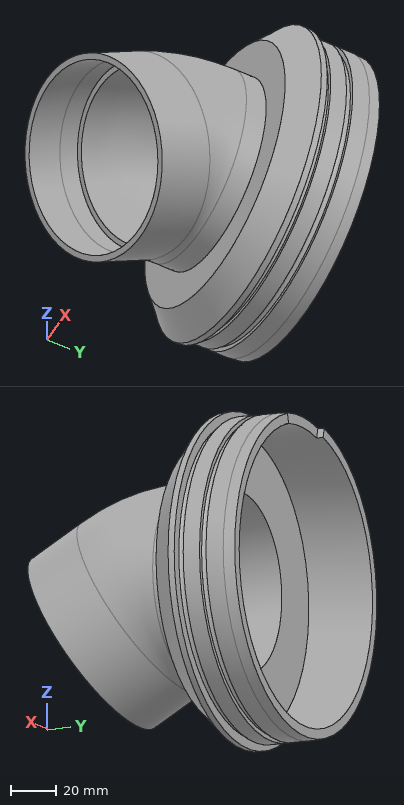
import cadquery as cq
import math

flange_radius = 75.7
body_radius = 73.1
back_radius = 72.7
back_taper_length = 5.5
groove_radius = 70.1
groove_wall_radius = 71.0
groove_width = 3.2
groove_starts = (14.0, 25.1)
flange_start = groove_starts[1] + groove_width
flange_width = 3.0
cone_start = flange_start + flange_width
head_length = 43.0
cone_end_radius = 63.7
cup_radius = 68.1
cup_depth = cone_start

notch_depth = 3.2
notch_angle = 30.0

pipe_radius = 93.0 / 2
bore_radius = 81.0 / 2
socket_radius = 87.0 / 2
socket_seat_radius = 86.3 / 2
socket_length = 28.0
seat_length = 10.0
neck_length = 10.0
bend_radius = 54.8
bend_angle = 30.0

bend_start = head_length + neck_length
slope = math.radians(bend_angle)
bend_end = (
    0,
    -bend_start - bend_radius * math.sin(slope),
    -bend_radius * (1 - math.cos(slope)),
)
socket_direction = (0, -math.cos(slope), -math.sin(slope))


def make_head():
    """Revolve the outer profile about Y and hollow it from the back."""
    profile = (
        cq.Workplane("XY")
        .moveTo(0, 0)
        .lineTo(back_radius, 0)
        .lineTo(body_radius, -back_taper_length)
        .lineTo(body_radius, -flange_start)
        .lineTo(flange_radius, -flange_start)
        .lineTo(flange_radius, -cone_start)
        .lineTo(cone_end_radius, -head_length)
        .lineTo(0, -head_length)
        .close()
    )
    head = profile.revolve(360, (0, 0, 0), (0, 1, 0))
    for start in groove_starts:
        head = head.cut(make_groove(start))
    cup = cq.Workplane("XZ").circle(cup_radius).extrude(cup_depth)
    return head.cut(cup).cut(make_notch())


def make_groove(start):
    """Ring cutter for a seal groove with a hollow, arc-shaped bottom."""
    end = start + groove_width
    middle = start + groove_width / 2
    return (
        cq.Workplane("XY")
        .moveTo(body_radius, -start)
        .lineTo(groove_wall_radius, -start)
        .threePointArc((groove_radius, -middle), (groove_wall_radius, -end))
        .lineTo(body_radius, -end)
        .close()
        .revolve(360, (0, 0, 0), (0, 1, 0))
    )


def make_notch():
    """Wedge cutter, centred on +Z, that crosses the rim wall."""
    half_width = flange_radius * math.tan(math.radians(notch_angle / 2))
    return (
        cq.Workplane("XZ")
        .polyline([(0, 0), (half_width, flange_radius), (-half_width, flange_radius)])
        .close()
        .extrude(notch_depth)
    )


def make_bent_rod(radius, start):
    """Straight rod from the given depth followed by the downward bend."""
    straight = (
        cq.Workplane("XZ", origin=(0, -start, 0))
        .circle(radius)
        .extrude(bend_start - start)
    )
    bend = (
        cq.Workplane("XZ", origin=(0, -bend_start, 0))
        .circle(radius)
        .revolve(bend_angle, (0, -bend_radius, 0), (1, -bend_radius, 0))
    )
    return straight.union(bend)


def socket_plane(offset=0.0):
    """Plane across the socket axis, offset outward from the end of the bend."""
    plane = cq.Plane(origin=bend_end, xDir=(1, 0, 0), normal=socket_direction)
    return cq.Workplane(plane).workplane(offset=offset)


def make_socket_bore():
    """Socket bore narrowing slightly to its seat at the end of the bend."""
    seat = (
        socket_plane()
        .circle(socket_seat_radius)
        .workplane(offset=seat_length)
        .circle(socket_radius)
        .loft()
    )
    mouth = socket_plane(seat_length).circle(socket_radius).extrude(socket_length - seat_length)
    return seat.union(mouth)


pipe = make_bent_rod(pipe_radius, cup_depth)
socket = socket_plane().circle(pipe_radius).extrude(socket_length)
bore = make_bent_rod(bore_radius, 0)

result = make_head().union(pipe).union(socket).cut(bore).cut(make_socket_bore())